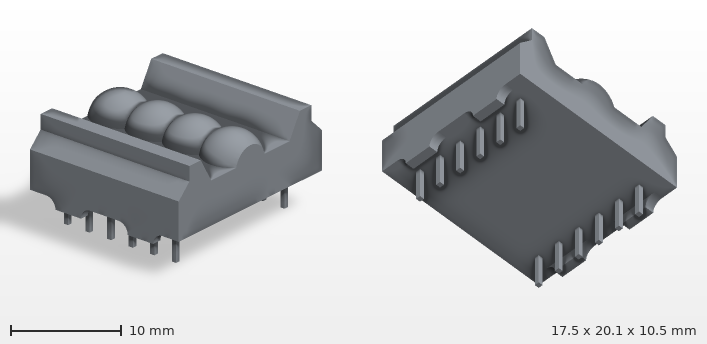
import cadquery as cq

length = 17.5
width = 20.12
pin_tip_z = -3.5
body_bottom_z = 0.0
shoulder_z = 4.0
ridge_wall_z = 5.45
floor_z = 4.5
top_z = 7.0

half_width = width / 2
ridge_setback = 1.5
ridge_outer_y = half_width - ridge_setback
ridge_top_width = 1.6
ridge_inner_y = ridge_outer_y - ridge_top_width
floor_half_width = 5.5

lens_count = 4
lens_pitch = length / lens_count
lens_radius = 3.0
lens_center_z = top_z - lens_radius

foot_height = 1.1
foot_tip_length = 3.0
foot_depth = 1.0
foot_x = 4.25
foot_fillet = foot_height

pin_rows = 2
pins_per_row = 6
pin_pitch = 2.54
row_spacing = 15.24
pin_side = 0.5
pin_embed = 1.0


def make_body():
    """Extrude the twin-ridge section along X."""
    right_half = [
        (half_width, body_bottom_z),
        (half_width, shoulder_z),
        (ridge_outer_y, ridge_wall_z),
        (ridge_outer_y, top_z),
        (ridge_inner_y, top_z),
        (floor_half_width, floor_z),
    ]
    left_half = [(-y, z) for y, z in reversed(right_half)]
    section = cq.Workplane("YZ").polyline(right_half + left_half).close()
    return section.extrude(length / 2, both=True)


def make_lenses():
    """Row of overlapping spheres, kept within the block that bounds the body."""
    lenses = cq.Workplane("XY")
    for index in range(lens_count):
        x = (index - (lens_count - 1) / 2) * lens_pitch
        sphere = cq.Workplane("XY").sphere(lens_radius).translate((x, 0, lens_center_z))
        lenses = lenses.union(sphere)
    envelope = cq.Workplane("XY").box(length, width, top_z, centered=(True, True, False))
    return lenses.intersect(envelope)


def make_foot(x, side):
    """Foot flush with a long side, blending into the underside with concave quarter rounds."""
    tip_half = foot_tip_length / 2
    root_half = tip_half + foot_fillet
    tip_z = body_bottom_z - foot_height
    outline = (
        cq.Workplane("XZ")
        .moveTo(-root_half, body_bottom_z)
        .radiusArc((-tip_half, tip_z), foot_fillet)
        .lineTo(tip_half, tip_z)
        .radiusArc((root_half, body_bottom_z), foot_fillet)
        .close()
    )
    foot_y = side * (half_width - foot_depth / 2)
    return outline.extrude(foot_depth / 2, both=True).translate((x, foot_y, 0))


def make_pins():
    """Two rows of square pins rooted inside the body."""
    pin_length = body_bottom_z + pin_embed - pin_tip_z
    return (
        cq.Workplane("XY", origin=(0, 0, pin_tip_z))
        .rarray(pin_pitch, row_spacing, pins_per_row, pin_rows)
        .rect(pin_side, pin_side)
        .extrude(pin_length)
    )


result = make_body().union(make_lenses())
for foot_side in (-1, 1):
    for foot_center_x in (-foot_x, foot_x):
        result = result.union(make_foot(foot_center_x, foot_side))
result = result.union(make_pins())